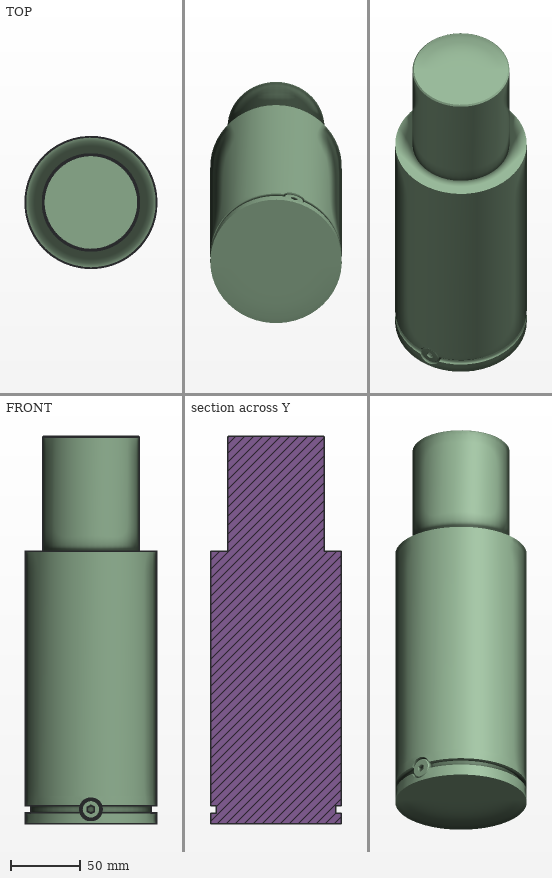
import cadquery as cq
import math

body_diameter = 95.0
body_top = 197.0
body_radius = body_diameter / 2

groove_bottom = 8.0
groove_width = 5.0
groove_depth = 4.0
groove_radius = body_radius - groove_depth

seam_height = 20.0

overall_height = 280.0
rod_diameter = 70.0
rod_chamfer = 1.0

port_diameter = 16.0
port_height = groove_bottom + groove_width / 2
port_depth = 5.0
port_floor = body_radius - port_depth

plug_diameter = 14.0
plug_recess = 1.0
plug_face = body_radius - plug_recess
plug_chamfer = 0.5

socket_across_flats = 5.0
socket_depth = 4.0


def make_body():
    """Plain cylinder with the retaining groove cut around it."""
    base = cq.Workplane("XY").circle(body_radius).extrude(seam_height)
    groove = (
        cq.Workplane("XY", origin=(0, 0, groove_bottom))
        .circle(body_radius)
        .circle(groove_radius)
        .extrude(groove_width)
    )
    tube = (
        cq.Workplane("XY", origin=(0, 0, seam_height))
        .circle(body_radius)
        .extrude(body_top - seam_height)
    )
    return base.cut(groove).union(tube, clean=False)


def make_rod():
    """Piston rod with a chamfered top edge."""
    return (
        cq.Workplane("XY", origin=(0, 0, body_top))
        .circle(rod_diameter / 2)
        .extrude(overall_height - body_top)
        .faces(">Z")
        .chamfer(rod_chamfer)
    )


def port_cylinder(diameter, outer, inner):
    """Cylinder along the port axis, between two distances from the Z axis."""
    return (
        cq.Workplane("XZ", origin=(0, -inner, port_height))
        .circle(diameter / 2)
        .extrude(outer - inner)
    )


def make_plug():
    """Round plug with a chamfered face and a blind hexagon socket."""
    plug = port_cylinder(plug_diameter, plug_face, port_floor)
    plug = plug.faces("<Y").chamfer(plug_chamfer)
    across_corners = socket_across_flats / math.cos(math.radians(30))
    socket = (
        cq.Workplane("XZ", origin=(0, socket_depth - plug_face, port_height))
        .transformed(rotate=(0, 0, 90))
        .polygon(6, across_corners)
        .extrude(socket_depth)
    )
    return plug.cut(socket)


port_pocket = port_cylinder(port_diameter, body_radius, port_floor)
result = (
    make_body()
    .cut(port_pocket, clean=False)
    .union(make_plug(), clean=False)
    .union(make_rod(), clean=False)
)